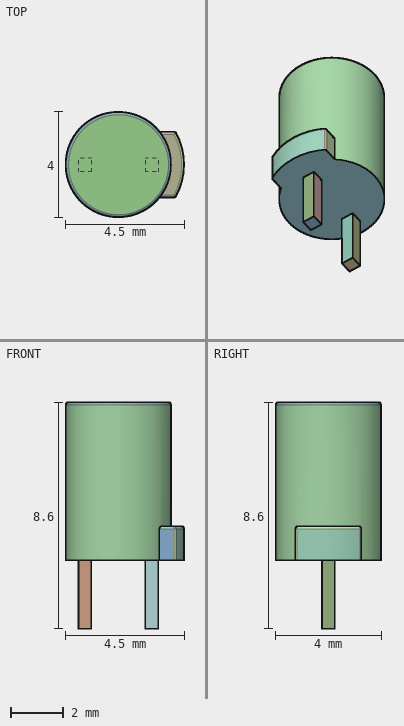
import cadquery as cq
import math

body_diameter = 4.0
body_radius = body_diameter / 2
total_height = 8.6
pin_length = 2.6
body_height = total_height - pin_length
edge_radius = 0.1

total_length = 4.5
key_reach = total_length - body_radius
key_width = 2.5
key_height = 1.3

pin_side = 0.5
pin_pitch = 2.54


def make_key():
    """Strip along +X, ended by the outer arc and rounded on its exposed edges."""
    half_width = key_width / 2
    corner_x = math.sqrt(key_reach**2 - half_width**2)
    key = (
        cq.Workplane("XY")
        .moveTo(0, -half_width)
        .lineTo(corner_x, -half_width)
        .threePointArc((key_reach, 0), (corner_x, half_width))
        .lineTo(0, half_width)
        .close()
        .extrude(key_height)
    )
    key = key.edges("|Z").edges(">X").fillet(edge_radius)
    return key.faces(">Z").edges("not <X").fillet(edge_radius)


def make_housing():
    """Cylinder with a rounded top rim, joined to its key."""
    cylinder = cq.Workplane("XY").circle(body_radius).extrude(body_height)
    cylinder = cylinder.faces(">Z").edges().fillet(edge_radius)
    return cylinder.union(make_key())


def make_pin(x):
    """Square pin hanging from the underside of the housing."""
    return cq.Workplane("XY").center(x, 0).rect(pin_side, pin_side).extrude(-pin_length)


housing = make_housing()
pins = [make_pin(side * pin_pitch / 2) for side in (-1, 1)]

result = cq.Compound.makeCompound([housing.val(), *[pin.val() for pin in pins]])